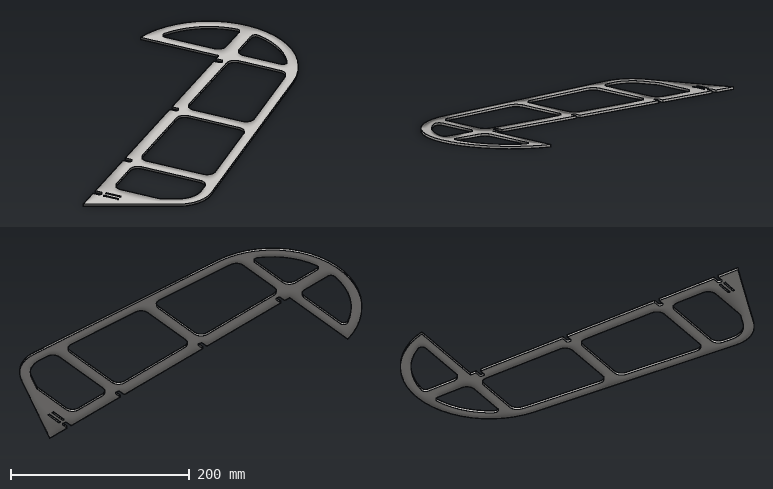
import cadquery as cq
import math

THICKNESS = 3.0
HEIGHT = 436.0

TIP_RADIUS = 100.0
TIP_CENTER_Y = HEIGHT - TIP_RADIUS
HORN_BOTTOM_Y = 362.0
HEEL_RADIUS = 40.0
REAR_EXTENT = 119.68
BOTTOM_ANGLE = math.radians(24.7)

RIM_WIDTH = 12.0
POST_REAR_X = 15.0
POST_FRONT_X = -1.0
HORN_WINDOW_Y = 374.0
WINDOW_ROWS = [(241.0, 361.0), (116.5, 227.0), (47.0, 102.5)]

CORNER_RADIUS = 10.0
RIM_CORNER_RADIUS = 5.0

NOTCH_CENTERS_Y = [351.5, 234.0, 109.5, 29.5]
NOTCH_WIDTH = 6.0
NOTCH_DEPTH = 9.0
NOTCH_CORNER_RADIUS = 2.0
SLIT_CENTERS_Y = [32.75, 26.75]
SLIT_WIDTH = 2.0
SLIT_START_X = 13.0
SLIT_LENGTH = 18.0

HEEL_X = REAR_EXTENT - HEEL_RADIUS
HEEL_Y = (HEEL_X * math.sin(BOTTOM_ANGLE) + HEEL_RADIUS) / math.cos(BOTTOM_ANGLE)

CENTER_DISTANCE = math.hypot(HEEL_X, TIP_CENTER_Y - HEEL_Y)
TRAIL_NORMAL = (
    math.acos((TIP_RADIUS - HEEL_RADIUS) / CENTER_DISTANCE)
    - math.atan2(TIP_CENTER_Y - HEEL_Y, HEEL_X)
)
BOTTOM_NORMAL = BOTTOM_ANGLE - math.pi / 2


def polar(center, radius, angle):
    """Point on a circle at the given angle."""
    return (center[0] + radius * math.cos(angle), center[1] + radius * math.sin(angle))


def envelope(inset):
    """Solid bounded by the plate's curved and sloping edges, all moved inward by inset."""
    tip_center = (0.0, TIP_CENTER_Y)
    heel_center = (HEEL_X, HEEL_Y)
    tip_radius = TIP_RADIUS - inset
    heel_radius = HEEL_RADIUS - inset
    horn_rise = HORN_BOTTOM_Y - TIP_CENTER_Y
    horn_tip = (-math.sqrt(tip_radius**2 - horn_rise**2), HORN_BOTTOM_Y)
    heel_middle = (TRAIL_NORMAL + BOTTOM_NORMAL) / 2
    return (
        cq.Workplane("XY")
        .moveTo(0, HORN_BOTTOM_Y)
        .lineTo(*horn_tip)
        .threePointArc((0, TIP_CENTER_Y + tip_radius), polar(tip_center, tip_radius, TRAIL_NORMAL))
        .lineTo(*polar(heel_center, heel_radius, TRAIL_NORMAL))
        .threePointArc(
            polar(heel_center, heel_radius, heel_middle),
            polar(heel_center, heel_radius, BOTTOM_NORMAL),
        )
        .lineTo(0, inset / math.cos(BOTTOM_ANGLE))
        .close()
        .extrude(THICKNESS)
    )


def block(x_min, x_max, y_min, y_max):
    """Rectangular block through the full plate thickness."""
    base = cq.Workplane("XY").box(x_max - x_min, y_max - y_min, THICKNESS, centered=False)
    return base.translate((x_min, y_min, 0))


def tip_window(post_x, rim_x):
    """Window under the tip arc, from the upright's face at post_x toward the rim at rim_x."""
    x_min = min(post_x, rim_x)
    x_max = max(post_x, rim_x)
    window = envelope(RIM_WIDTH).intersect(block(x_min, x_max, HORN_WINDOW_Y, HEIGHT))
    square_corner = cq.selectors.NearestToPointSelector((post_x, HORN_WINDOW_Y, THICKNESS / 2))
    window = window.edges("|Z").edges(square_corner).fillet(CORNER_RADIUS)
    window = window.edges("|Z").edges(">Y").fillet(RIM_CORNER_RADIUS)
    rim_side = "<X" if rim_x < post_x else ">X"
    return window.edges("|Z").edges(rim_side).fillet(RIM_CORNER_RADIUS)


def bay_window(y_min, y_max):
    """Window between the upright and the trailing rim; its upper and lower corners are rounded."""
    window = envelope(RIM_WIDTH).intersect(block(POST_REAR_X, REAR_EXTENT, y_min, y_max))
    return window.edges("|Z").edges("<Y or >Y").fillet(CORNER_RADIUS)


def notch(center_y):
    """Hinge notch open to the hinge edge, with rounded inner corners."""
    half_width = NOTCH_WIDTH / 2
    cutter = block(0, NOTCH_DEPTH, center_y - half_width, center_y + half_width)
    return cutter.edges("|Z and >X").fillet(NOTCH_CORNER_RADIUS)


def slit(center_y):
    """Narrow through slot for the control horn."""
    half_width = SLIT_WIDTH / 2
    return block(SLIT_START_X, SLIT_START_X + SLIT_LENGTH, center_y - half_width, center_y + half_width)


result = envelope(0.0)
result = result.cut(tip_window(POST_FRONT_X, -TIP_RADIUS))
result = result.cut(tip_window(POST_REAR_X, TIP_RADIUS))
for row_bottom, row_top in WINDOW_ROWS:
    result = result.cut(bay_window(row_bottom, row_top))
for notch_y in NOTCH_CENTERS_Y:
    result = result.cut(notch(notch_y))
for slit_y in SLIT_CENTERS_Y:
    result = result.cut(slit(slit_y))